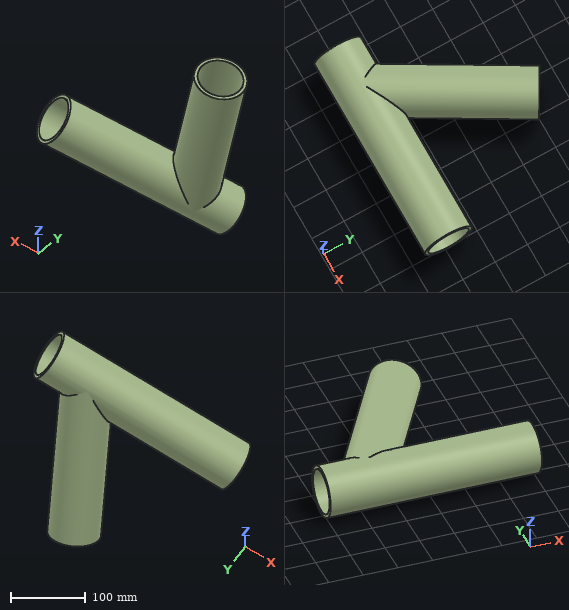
import cadquery as cq
import math

run_length = 304.8
outer_diameter = 73.0
bore_diameter = 62.8
junction_offset = 63.5
branch_length = 241.0
branch_angle = math.radians(60)

run_start = cq.Vector(-junction_offset, 0, 0)
run_direction = cq.Vector(1, 0, 0)
junction = cq.Vector(0, 0, 0)
branch_direction = cq.Vector(math.cos(branch_angle), math.sin(branch_angle), 0)


def wye(diameter):
    """Straight run joined to the slanted branch, both solid and of one diameter."""
    radius = diameter / 2
    run = cq.Solid.makeCylinder(radius, run_length, run_start, run_direction)
    branch = cq.Solid.makeCylinder(radius, branch_length, junction, branch_direction)
    return cq.Workplane(obj=run).union(cq.Workplane(obj=branch))


result = wye(outer_diameter).cut(wye(bore_diameter))